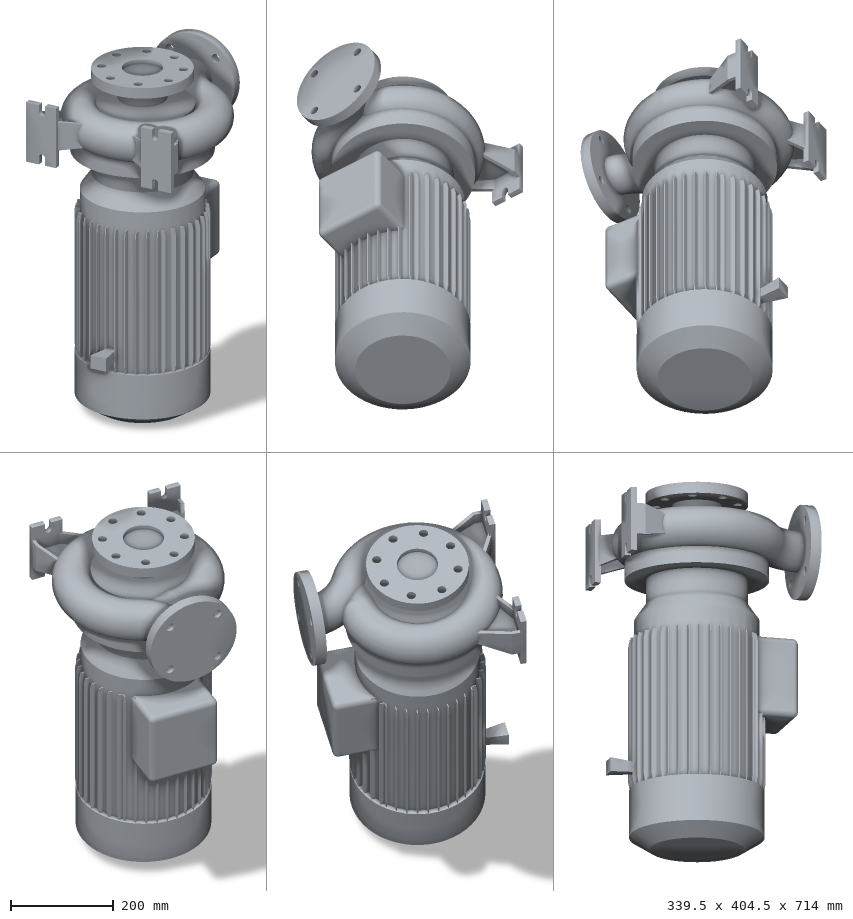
import cadquery as cq
import math

total_height = 714.0

bottom_radius = 93.0
end_cap_radius = 132.0
end_cap_chamfer_top = 25.0
end_cap_top = 118.0
motor_radius = 122.0
fin_top = 420.5
cone_bottom = 460.0
cone_top = 493.0
lantern_radius = 99.0
collar_radius = 141.0
collar_bottom = 541.0

fin_count = 40
fin_side_count = 4
fin_protrusion = 11.5
fin_thickness = 2.0
fin_corner_depth = 3.0
fin_corner_height = 14.0

box_width = 147.0
box_face_y = 185.5
box_bottom = 263.0
box_edge_radius = 11.0

tube_radius = 40.0
volute_z = 614.0
volute_offset = 11.0
volute_radius = 128.5
taper_start_angle = 95.0
taper_end_angle = 60.0
taper_end_tube_radius = 21.5

suction_flange_radius = 100.0
suction_flange_thickness = 22.0
suction_neck_radius = 48.5
cover_top_z = 651.0
cover_rim_radius = 103.0
cover_rim_z = 640.0
suction_bolt_circle_radius = 80.0
suction_bolt_count = 8
suction_bolt_diameter = 18.0
suction_bore_diameter = 80.0
suction_bore_depth = 10.0

outlet_face_y = 225.5
outlet_flange_thickness = 21.5
outlet_flange_radius = 93.0
outlet_bolt_circle_radius = 72.0
outlet_bolt_count = 4
outlet_bolt_diameter = 18.0

foot_face_y = -179.0
foot_plate_thickness = 12.0
foot_inner_x = 94.0
foot_outer_x = 160.0
foot_bottom = 550.0
foot_top = 676.0
slot_x = 125.0
slot_width = 13.5
slot_depth = 22.0
bracket_wall = 7.0
bracket_height = 61.5
outer_arm_end = (126.5, -82.0)
outer_arm_end_height = 29.0
inner_arm_root = (103.0, -168.0)
inner_arm_end = (50.0, -138.5)
inner_arm_end_height = 48.5
bracket_straight_y = -150.0
bracket_web_thickness = 8.5

block_z = 155.0
block_outer_width = 34.0
block_outer_height = 28.0
block_inner_width = 17.0
block_inner_height = 19.0
block_inner_y = -121.5

suction_flange_bottom = total_height - suction_flange_thickness


def make_body():
    """Revolved motor, lantern, collar, casing cover, suction neck and flange."""
    profile = [
        (0, 0),
        (bottom_radius, 0),
        (end_cap_radius, end_cap_chamfer_top),
        (end_cap_radius, end_cap_top),
        (motor_radius, end_cap_top),
        (motor_radius, cone_bottom),
        (lantern_radius, cone_top),
        (lantern_radius, collar_bottom),
        (collar_radius, collar_bottom),
        (collar_radius, volute_z),
        (cover_rim_radius, volute_z),
        (cover_rim_radius, cover_rim_z),
        (suction_neck_radius, cover_top_z),
        (suction_neck_radius, suction_flange_bottom),
        (suction_flange_radius, suction_flange_bottom),
        (suction_flange_radius, total_height),
        (0, total_height),
    ]
    return cq.Workplane("XZ").polyline(profile).close().revolve(360, (0, 0), (0, 1))


def make_fins():
    """Cooling fins in four groups; the fins of a group all point along the same axis."""
    group_size = fin_count // fin_side_count
    group = cq.Workplane("XY")
    for index in range(group_size):
        angle = (index - (group_size - 1) / 2) * 360 / fin_count
        offset = end_cap_radius * math.sin(math.radians(angle))
        tip = math.sqrt(motor_radius**2 - offset**2) + fin_protrusion
        root = tip - 2 * fin_protrusion
        corner = tip - fin_corner_depth
        profile = [
            (root, end_cap_top),
            (corner, end_cap_top),
            (tip, end_cap_top + fin_corner_height),
            (tip, fin_top - fin_corner_height),
            (corner, fin_top),
            (root, fin_top),
        ]
        fin = (
            cq.Workplane("XZ", origin=(0, offset, 0))
            .polyline(profile)
            .close()
            .extrude(fin_thickness / 2, both=True)
        )
        group = group.add(fin)

    fins = cq.Workplane("XY")
    for side in range(fin_side_count):
        fins = fins.add(group.rotate((0, 0, 0), (0, 0, 1), side * 360 / fin_side_count))
    return fins.combine()


def make_terminal_box():
    """Rounded box on the +Y side of the motor."""
    return (
        cq.Workplane("XY", origin=(0, 0, box_bottom))
        .rect(box_width, 2 * box_face_y)
        .extrude(fin_top - box_bottom)
        .edges("|Y or >Y")
        .fillet(box_edge_radius)
        .intersect(cq.Workplane("XY").box(box_width, box_face_y, fin_top, centered=(True, False, False)))
    )


def tube_bend(center, bend_radius, start_angle, sweep):
    """Round tube bent about a vertical axis through center, starting at start_angle."""
    return (
        cq.Workplane("XZ")
        .center(bend_radius, 0)
        .circle(tube_radius)
        .revolve(sweep, (-bend_radius, 0), (-bend_radius, 1))
        .rotate((0, 0, 0), (0, 0, 1), start_angle)
        .translate((center[0], center[1], volute_z))
    )


def tube_ring(distance, ring_radius, angle):
    """Circular wire standing across the volute tube at a given angle about the pump axis."""
    radial = cq.Vector(math.cos(math.radians(angle)), math.sin(math.radians(angle)), 0)
    tangent = cq.Vector(-radial.y, radial.x, 0)
    center = radial * distance + cq.Vector(0, 0, volute_z)
    return cq.Wire.makeCircle(ring_radius, center, tangent)


def make_volute():
    """Volute tube from its start under the outlet round to the curved outlet pipe."""
    bend_radius = (outlet_face_y**2 + volute_offset**2 - volute_radius**2) / (
        2 * (volute_radius + volute_offset)
    )
    join_angle = math.degrees(math.atan2(outlet_face_y, bend_radius - volute_offset))

    start_radius = volute_radius - volute_offset
    start = tube_bend((0, 0), start_radius, taper_start_angle, 180 - taper_start_angle)
    taper = cq.Workplane(
        cq.Solid.makeLoft(
            [
                tube_ring(start_radius, tube_radius, taper_start_angle),
                tube_ring(start_radius, taper_end_tube_radius, taper_end_angle),
            ]
        )
    )
    main = tube_bend((volute_offset, 0), volute_radius, 180, 180 + join_angle)
    outlet = tube_bend((bend_radius, outlet_face_y), bend_radius, 180, join_angle)
    return start.union(taper).union(main).union(outlet)


def make_outlet_flange():
    """Vertical outlet flange with its bolt holes."""
    return (
        cq.Workplane("XZ", origin=(0, outlet_face_y, volute_z))
        .circle(outlet_flange_radius)
        .extrude(outlet_flange_thickness)
        .faces("<Y")
        .workplane(origin=(0, 0, volute_z))
        .polarArray(outlet_bolt_circle_radius, 180 / outlet_bolt_count, 360, outlet_bolt_count)
        .hole(outlet_bolt_diameter)
    )


def make_arm(root, end, end_height):
    """Vertical bracket wall from root to end, narrowing in height."""
    direction = cq.Vector(end[0] - root[0], end[1] - root[1], 0)
    length = direction.Length
    normal = cq.Vector(-direction.y, direction.x, 0)
    plane = cq.Plane(origin=(root[0], root[1], volute_z), xDir=direction, normal=normal)
    profile = [
        (0, -bracket_height / 2),
        (length, -end_height / 2),
        (length, end_height / 2),
        (0, bracket_height / 2),
    ]
    return cq.Workplane(plane).polyline(profile).close().extrude(bracket_wall)


def make_foot():
    """Slotted foot plate on the +X side with its tapered channel bracket."""
    plate_back_y = foot_face_y + foot_plate_thickness
    plate_width = foot_outer_x - foot_inner_x
    plate_z = (foot_bottom + foot_top) / 2
    plate = (
        cq.Workplane("XY")
        .box(plate_width, foot_plate_thickness, foot_top - foot_bottom)
        .translate((foot_inner_x + plate_width / 2, (foot_face_y + plate_back_y) / 2, plate_z))
    )
    slot_length = 2 * slot_depth
    for slot_z in (foot_bottom, foot_top):
        slot = (
            cq.Workplane("XZ", origin=(slot_x, plate_back_y, slot_z))
            .slot2D(slot_length, slot_width, 90)
            .extrude(foot_plate_thickness)
        )
        plate = plate.cut(slot)

    outer_root = (foot_outer_x, bracket_straight_y)
    straight_length = bracket_straight_y - plate_back_y
    straight_wall = cq.Workplane("XY").box(bracket_wall, straight_length, bracket_height).translate(
        (foot_outer_x - bracket_wall / 2, plate_back_y + straight_length / 2, volute_z)
    )
    outer_arm = make_arm(outer_root, outer_arm_end, outer_arm_end_height)
    inner_arm = make_arm(inner_arm_root, inner_arm_end, inner_arm_end_height)
    web_outline = [
        inner_arm_root,
        (foot_outer_x, plate_back_y),
        outer_root,
        outer_arm_end,
        inner_arm_end,
    ]
    web = (
        cq.Workplane("XY", origin=(0, 0, volute_z - bracket_web_thickness / 2))
        .polyline(web_outline)
        .close()
        .extrude(bracket_web_thickness)
    )
    return plate.union(straight_wall).union(outer_arm).union(inner_arm).union(web)


def make_support_block():
    """Block on the -Y side of the motor, widening towards its outer face."""
    return (
        cq.Workplane("XZ", origin=(0, block_inner_y, block_z))
        .rect(block_inner_width, block_inner_height)
        .workplane(offset=block_inner_y - foot_face_y)
        .rect(block_outer_width, block_outer_height)
        .loft()
    )


def cut_suction_holes(body):
    """Blind bore and bolt circle in the suction flange."""
    bore = (
        cq.Workplane("XY", origin=(0, 0, total_height - suction_bore_depth))
        .circle(suction_bore_diameter / 2)
        .extrude(suction_bore_depth)
    )
    bolts = (
        cq.Workplane("XY", origin=(0, 0, suction_flange_bottom))
        .polarArray(suction_bolt_circle_radius, 180 / suction_bolt_count, 360, suction_bolt_count)
        .circle(suction_bolt_diameter / 2)
        .extrude(suction_flange_thickness)
    )
    return body.cut(bore).cut(bolts)


foot = make_foot()
body = cut_suction_holes(make_body())
result = (
    body.union(make_fins())
    .union(make_terminal_box())
    .union(make_volute())
    .union(make_outlet_flange())
    .union(foot)
    .union(foot.mirror("YZ"))
    .union(make_support_block())
)